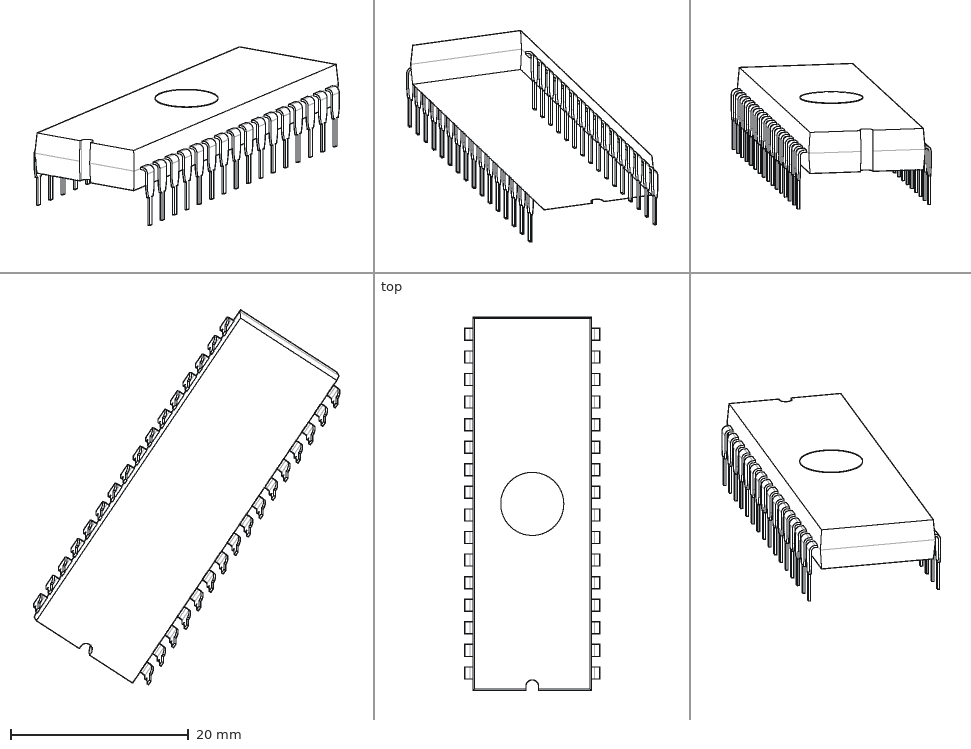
import cadquery as cq
import math

row_width = 15.24
body_length = 42.04
body_width = 13.36
overall_height = 9.09

window_diameter = 7.1
window_height = 0.07
body_top = overall_height - window_height
body_bottom = 4.3
parting_height = 6.67
draft_angle = 4.4

notch_radius = 0.7
notch_depth = 1.2

leads_per_side = 16
lead_pitch = 2.54
lead_row_centre_y = 0.03
lead_thickness = 0.25
bend_outer_radius = 0.62
lead_embed = 0.5
wide_width = 1.38
shoulder_width = 0.95
tip_width = 0.5
taper_top = 4.3
shoulder_height = 3.3


def make_body_half(height):
    """Drafted block from the parting plane; a negative height grows downwards."""
    inset = abs(height) * math.tan(math.radians(draft_angle))
    return (
        cq.Workplane("XY", origin=(0, 0, parting_height))
        .rect(body_width, body_length)
        .workplane(offset=height)
        .rect(body_width - 2 * inset, body_length - 2 * inset)
        .loft(ruled=True)
    )


def make_notch_cutter():
    """Round-ended slot through the full height of the body."""
    end_y = -body_length / 2
    centre_y = end_y + notch_depth - notch_radius
    return (
        cq.Workplane("XY")
        .moveTo(-notch_radius, end_y - notch_radius)
        .lineTo(-notch_radius, centre_y)
        .threePointArc((0, centre_y + notch_radius), (notch_radius, centre_y))
        .lineTo(notch_radius, end_y - notch_radius)
        .close()
        .extrude(overall_height)
    )


def make_body():
    upper = make_body_half(body_top - parting_height)
    lower = make_body_half(body_bottom - parting_height)
    window = (
        cq.Workplane("XY", origin=(0, 0, body_top))
        .circle(window_diameter / 2)
        .extrude(window_height)
    )
    return upper.union(lower).cut(make_notch_cutter()).union(window)


def make_bent_strip():
    """Full-width lead strip on the +X side: out of the body, then bent straight down."""
    outer_x = row_width / 2
    inner_x = outer_x - lead_thickness
    root_x = body_width / 2 - lead_embed
    top_z = parting_height + lead_thickness / 2
    under_z = top_z - lead_thickness
    bend_x = outer_x - bend_outer_radius
    bend_z = top_z - bend_outer_radius
    bend_inner_radius = bend_outer_radius - lead_thickness
    diagonal = math.sqrt(0.5)
    outer_mid = (bend_x + bend_outer_radius * diagonal, bend_z + bend_outer_radius * diagonal)
    inner_mid = (bend_x + bend_inner_radius * diagonal, bend_z + bend_inner_radius * diagonal)
    return (
        cq.Workplane("XZ")
        .moveTo(root_x, top_z)
        .lineTo(bend_x, top_z)
        .threePointArc(outer_mid, (outer_x, bend_z))
        .lineTo(outer_x, 0)
        .lineTo(inner_x, 0)
        .lineTo(inner_x, bend_z)
        .threePointArc(inner_mid, (bend_x, under_z))
        .lineTo(root_x, under_z)
        .close()
        .extrude(wide_width / 2, both=True)
    )


def make_lead_outline():
    """Lead silhouette along X: wide at the top, tapered to a shoulder, then a narrow tip."""
    half_outline = [
        (tip_width / 2, 0),
        (tip_width / 2, shoulder_height),
        (shoulder_width / 2, shoulder_height),
        (wide_width / 2, taper_top),
        (wide_width / 2, overall_height),
    ]
    mirrored = [(-y, z) for y, z in reversed(half_outline)]
    return cq.Workplane("YZ").polyline(half_outline + mirrored).close().extrude(row_width)


def make_leads():
    right_lead = make_bent_strip().intersect(make_lead_outline())
    left_lead = right_lead.mirror("YZ")
    first_y = lead_row_centre_y - lead_pitch * (leads_per_side - 1) / 2
    leads = []
    for index in range(leads_per_side):
        y = first_y + index * lead_pitch
        for lead in (right_lead, left_lead):
            leads.append(lead.translate((0, y, 0)).val())
    return leads


result = cq.Workplane(make_body().val().fuse(*make_leads()))